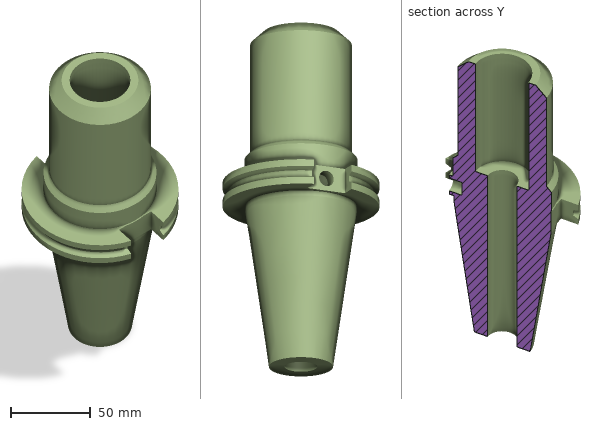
import cadquery as cq

total_height = 218.5
gauge_height = 101.5
flange_bottom = 104.9
flange_height = 16.0
flange_top = flange_bottom + flange_height
collar_top = 135.7
nose_chamfer_height = 7.5

taper_end_radius = 20.0
gauge_radius = 35.0
flange_radius = 49.1
collar_radius = 35.4
body_radius = 32.0
nose_radius = 24.0
collar_chamfer = collar_radius - body_radius
collar_foot = 0.5

groove_radius = 45.7
rim_height = 4.4
groove_flank_height = 1.7

tool_bore_radius = 19.0
tool_bore_depth = 87.4
through_bore_radius = 10.3

slot_width = 25.8
left_slot_floor = 37.8
right_slot_floor = 35.2
floor_hole_radius = 5.0
floor_hole_depth = 8.7


def turned_body():
    """Revolve the outer profile, given as (radius, height) points."""
    lower_rim_top = flange_bottom + rim_height
    upper_rim_bottom = flange_top - rim_height
    profile = [
        (0, 0),
        (taper_end_radius, 0),
        (gauge_radius, gauge_height),
        (gauge_radius, flange_bottom),
        (flange_radius, flange_bottom),
        (flange_radius, lower_rim_top),
        (groove_radius, lower_rim_top + groove_flank_height),
        (groove_radius, upper_rim_bottom - groove_flank_height),
        (flange_radius, upper_rim_bottom),
        (flange_radius, flange_top),
        (collar_radius + collar_foot, flange_top),
        (collar_radius, flange_top + collar_foot),
        (collar_radius, collar_top),
        (body_radius, collar_top + collar_chamfer),
        (body_radius, total_height - nose_chamfer_height),
        (nose_radius, total_height),
        (0, total_height),
    ]
    return cq.Workplane("XZ").polyline(profile).close().revolve(360, (0, 0, 0), (0, 1, 0))


def axial_bores():
    """Through bore with the wider tool bore at the nose."""
    through = cq.Workplane("XY").circle(through_bore_radius).extrude(total_height)
    tool = (
        cq.Workplane("XY", origin=(0, 0, total_height - tool_bore_depth))
        .circle(tool_bore_radius)
        .extrude(tool_bore_depth)
    )
    return through.union(tool)


def drive_slot(side, floor_distance):
    """Square slot through the flange height, on the +X (1) or -X (-1) side."""
    slot_length = flange_radius
    return cq.Workplane("XY").box(slot_length, slot_width, flange_height).translate(
        (side * (floor_distance + slot_length / 2), 0, flange_bottom + flange_height / 2)
    )


def floor_hole():
    """Blind radial hole at mid flange height."""
    return (
        cq.Workplane("YZ", origin=(-left_slot_floor, 0, flange_bottom + flange_height / 2))
        .circle(floor_hole_radius)
        .extrude(floor_hole_depth)
    )


result = (
    turned_body()
    .cut(axial_bores())
    .cut(drive_slot(-1, left_slot_floor))
    .cut(drive_slot(1, right_slot_floor))
    .cut(floor_hole())
)